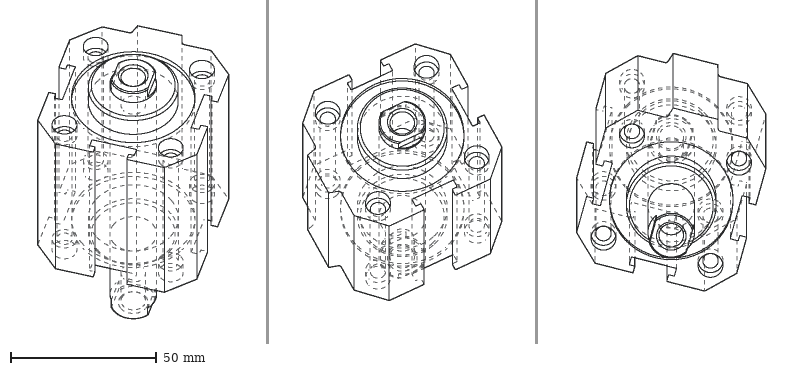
import cadquery as cq

block_width = 57.0
block_height = 63.5
corner_cut = 9.0
half_width = block_width / 2

rib_height = 3.9
rib_top_half_width = 8.0
rib_base_half_width = 9.1
rib_root_radius = 1.0

slot_mouth_width = 12.0
slot_inner_width = 16.0
slot_lip = 2.5
slot_depth = 5.4
slot_edge_radius = 0.2

pick_margin = 0.1

bolt_spacing = 38.1
bolt_diameter = 5.3
counterbore_diameter = 8.5
counterbore_depth = 5.5

recess_diameter = 42.5
recess_depth = 2.1
collar_diameter = 31.0
collar_height = 6.0
collar_chamfer = 1.0

rod_diameter = 16.0
rod_length = 115.5
rod_below_block = 41.0
rod_end_chamfer = 0.5
flat_spacing = 13.0
flat_length = 4.0
tap_diameter = 8.4
tap_mouth_diameter = 10.2
tap_depth = 15.0

rod_bottom = -rod_below_block
rod_top = rod_bottom + rod_length


def pick_box(x_min, x_max, y_min, y_max):
    """Selector for edges centred inside the given XY range, at any height of the block."""
    return cq.selectors.BoxSelector(
        (x_min - pick_margin, y_min - pick_margin, 0),
        (x_max + pick_margin, y_max + pick_margin, block_height),
    )


def make_block():
    """Octagonal prism with the tapered rib along its +Y side."""
    block = (
        cq.Workplane("XY")
        .rect(block_width, block_width)
        .extrude(block_height)
        .edges("|Z")
        .chamfer(corner_cut)
    )
    rib = (
        cq.Workplane("XY")
        .polyline([
            (-rib_base_half_width, 0),
            (-rib_base_half_width, half_width),
            (-rib_top_half_width, half_width + rib_height),
            (rib_top_half_width, half_width + rib_height),
            (rib_base_half_width, half_width),
            (rib_base_half_width, 0),
        ])
        .close()
        .extrude(block_height)
    )
    block = block.union(rib)
    for side in (-1, 1):
        root = pick_box(
            side * rib_base_half_width, side * rib_base_half_width, half_width, half_width
        )
        block = block.edges("|Z").edges(root).fillet(rib_root_radius)
    return block


def make_slot():
    """T-slot cutter for the -Y side."""
    mouth = cq.Workplane("XY").box(
        slot_mouth_width, slot_depth, block_height, centered=(True, False, False)
    )
    inner = cq.Workplane("XY", origin=(0, slot_lip, 0)).box(
        slot_inner_width, slot_depth - slot_lip, block_height, centered=(True, False, False)
    )
    return mouth.union(inner).translate((0, -half_width, 0))


def cut_slot(block, angle):
    """Cut a T-slot with rounded edges, turned about Z by the given angle from the -Y side."""
    axis = ((0, 0, 0), (0, 0, 1))
    slot_edges = pick_box(
        -slot_inner_width / 2, slot_inner_width / 2, -half_width, -half_width + slot_depth
    )
    return (
        block.rotate(*axis, -angle)
        .cut(make_slot())
        .edges("|Z")
        .edges(slot_edges)
        .fillet(slot_edge_radius)
        .rotate(*axis, angle)
    )


def make_collar():
    """Recess floor to collar face, as a cylinder with a chamfered outer rim."""
    return (
        cq.Workplane("XY")
        .circle(collar_diameter / 2)
        .extrude(recess_depth + collar_height)
        .faces(">Z")
        .edges()
        .chamfer(collar_chamfer)
        .translate((0, 0, block_height - recess_depth))
    )


def mirror_to_lower_end(shape):
    """Copy of an upper-end shape at the lower end of the block."""
    return shape.mirror("XY", (0, 0, block_height / 2))


def make_housing():
    housing = make_block()
    for angle in (-90, 0, 90):
        housing = cut_slot(housing, angle)

    bolt_holes = (
        cq.Workplane("XY")
        .rect(bolt_spacing, bolt_spacing, forConstruction=True)
        .vertices()
        .circle(bolt_diameter / 2)
        .extrude(block_height)
    )
    counterbores = (
        cq.Workplane("XY", origin=(0, 0, block_height - counterbore_depth))
        .rect(bolt_spacing, bolt_spacing, forConstruction=True)
        .vertices()
        .circle(counterbore_diameter / 2)
        .extrude(counterbore_depth)
    )
    recess = (
        cq.Workplane("XY", origin=(0, 0, block_height - recess_depth))
        .circle(recess_diameter / 2)
        .extrude(recess_depth)
    )
    housing = housing.cut(bolt_holes)
    for cutter in (counterbores, recess):
        housing = housing.cut(cutter).cut(mirror_to_lower_end(cutter))

    collar = make_collar()
    housing = housing.union(collar).union(mirror_to_lower_end(collar))

    rod_bore = (
        cq.Workplane("XY", origin=(0, 0, rod_bottom))
        .circle(rod_diameter / 2)
        .extrude(rod_length)
    )
    return housing.cut(rod_bore)


def make_rod_end_cuts():
    """Wrench flats and tapped hole of the upper rod end."""
    flat_blank = cq.Workplane("XY").box(
        rod_diameter, rod_diameter, flat_length, centered=(True, True, False)
    )
    kept_middle = cq.Workplane("XY").box(
        flat_spacing, rod_diameter, flat_length, centered=(True, True, False)
    )
    flats = flat_blank.cut(kept_middle).translate((0, 0, rod_top - flat_length))

    tap_radius = tap_diameter / 2
    mouth_radius = tap_mouth_diameter / 2
    mouth_chamfer = mouth_radius - tap_radius
    tapped_hole = (
        cq.Workplane("XZ")
        .polyline([
            (0, rod_top),
            (mouth_radius, rod_top),
            (tap_radius, rod_top - mouth_chamfer),
            (tap_radius, rod_top - tap_depth),
            (0, rod_top - tap_depth),
        ])
        .close()
        .revolve(360, (0, 0, 0), (0, 1, 0))
    )
    return flats, tapped_hole


def make_rod():
    rod = (
        cq.Workplane("XY", origin=(0, 0, rod_bottom))
        .circle(rod_diameter / 2)
        .extrude(rod_length)
        .faces("<Z or >Z")
        .edges()
        .chamfer(rod_end_chamfer)
    )
    rod_middle = (0, 0, (rod_bottom + rod_top) / 2)
    for cutter in make_rod_end_cuts():
        rod = rod.cut(cutter).cut(cutter.mirror("XY", rod_middle))
    return rod


housing = make_housing()
rod = make_rod()

result = cq.Compound.makeCompound([housing.val(), rod.val()])